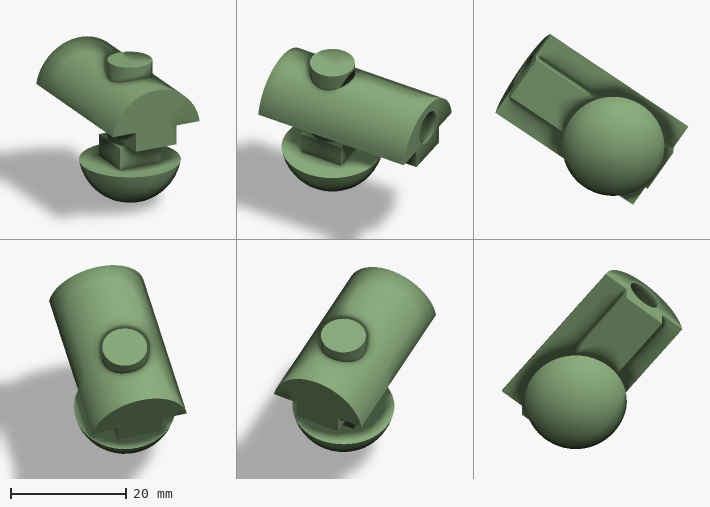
import cadquery as cq
import math

length = 29.0
dome_width = 17.0
dome_height = 7.22
rail_width = 7.95
rail_depth = 3.5

screw_hole_diameter = 6.0
screw_hole_z = 2.52

bolt_x = 4.5
shank_diameter = 7.8
shank_top = dome_height + 2.3
neck_width = rail_width
neck_height = 4.0
neck_gap = 1.48
head_sphere_radius = 9.0
head_height = 7.5

seat_z = screw_hole_z + 0.5
seat_radius = 6.03
seat_half_angle = 57.0

shank_radius = shank_diameter / 2
neck_top = -rail_depth - neck_gap
head_top = neck_top - neck_height
head_bottom = head_top - head_height


def make_housing():
    """Domed bar with its rail, vertical bolt bore and set-screw hole."""
    half_dome = dome_width / 2
    half_rail = rail_width / 2
    body = (
        cq.Workplane("YZ")
        .moveTo(-half_dome, 0)
        .threePointArc((0, dome_height), (half_dome, 0))
        .lineTo(half_rail, 0)
        .lineTo(half_rail, -rail_depth)
        .lineTo(-half_rail, -rail_depth)
        .lineTo(-half_rail, 0)
        .close()
        .extrude(length / 2, both=True)
    )
    bore = (
        cq.Workplane("XY", origin=(bolt_x, 0, -rail_depth))
        .circle(shank_radius)
        .extrude(rail_depth + dome_height)
    )
    screw_hole = (
        cq.Workplane("YZ", origin=(-length / 2, 0, screw_hole_z))
        .circle(screw_hole_diameter / 2)
        .extrude(length / 2 + bolt_x)
    )
    return body.cut(bore).cut(screw_hole)


def make_screw_seat():
    """Cone along X whose wide end meets the -X side of the shank and whose point lies inside it."""
    seat_depth = seat_radius / math.tan(math.radians(seat_half_angle))
    return cq.Workplane(
        cq.Solid.makeCone(
            seat_radius,
            0,
            seat_depth,
            pnt=cq.Vector(bolt_x - shank_radius, 0, seat_z),
            dir=cq.Vector(1, 0, 0),
        )
    )


def make_bolt():
    """Shank with its conical seat, square neck and spherical-cap head."""
    shank = (
        cq.Workplane("XY", origin=(bolt_x, 0, neck_top))
        .circle(shank_radius)
        .extrude(shank_top - neck_top)
        .cut(make_screw_seat())
    )
    neck = (
        cq.Workplane("XY", origin=(bolt_x, 0, head_top))
        .rect(neck_width, neck_width)
        .extrude(neck_height)
    )
    sphere = cq.Workplane("XY", origin=(bolt_x, 0, head_bottom + head_sphere_radius)).sphere(head_sphere_radius)
    head_limits = (
        cq.Workplane("XY", origin=(bolt_x, 0, head_bottom))
        .circle(head_sphere_radius)
        .extrude(head_height)
    )
    head = sphere.intersect(head_limits)
    return shank.union(neck).union(head)


housing = make_housing().solids()
bolt = make_bolt().solids()
result = cq.Compound.makeCompound([housing.val(), bolt.val()])